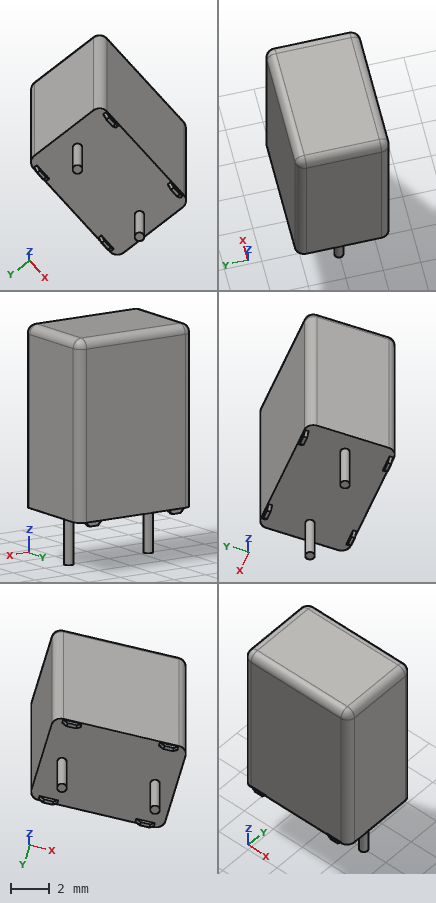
import cadquery as cq


body_length = 7.2
body_width = 5.0
overall_height = 12.5
edge_radius = 0.5

lead_pitch = 5.0
lead_diameter = 0.5
lead_length = 2.5

foot_height = 0.25
foot_top_length = 1.0
foot_bottom_length = foot_top_length - 2 * foot_height
foot_thickness = 0.2
foot_inset = 0.05
foot_center_x = body_length / 2 - edge_radius - foot_top_length / 2

body_height = overall_height - lead_length - foot_height


def make_body():
    """Box standing on the feet, rounded on every edge except around its base."""
    box = cq.Workplane("XY").workplane(offset=foot_height).box(
        body_length, body_width, body_height, centered=(True, True, False)
    )
    return box.edges("|Z or >Z").fillet(edge_radius)


def make_lead(x):
    """Round lead from the base of the body down past the seating plane."""
    length = lead_length + foot_height
    lead = cq.Workplane("XY").circle(lead_diameter / 2).extrude(length)
    return lead.translate((x, 0, -lead_length))


def make_foot(x, y):
    """Trapezoidal foot centred at (x, y), narrowing towards the seating plane."""
    outline = [
        (-foot_top_length / 2, foot_height),
        (foot_top_length / 2, foot_height),
        (foot_bottom_length / 2, 0),
        (-foot_bottom_length / 2, 0),
    ]
    foot = cq.Workplane("XZ").polyline(outline).close().extrude(foot_thickness / 2, both=True)
    return foot.translate((x, y, 0))


result = make_body()
foot_center_y = body_width / 2 - foot_inset - foot_thickness / 2
for side in (-1, 1):
    result = result.union(make_lead(side * lead_pitch / 2))
    for face in (-1, 1):
        result = result.union(make_foot(side * foot_center_x, face * foot_center_y))